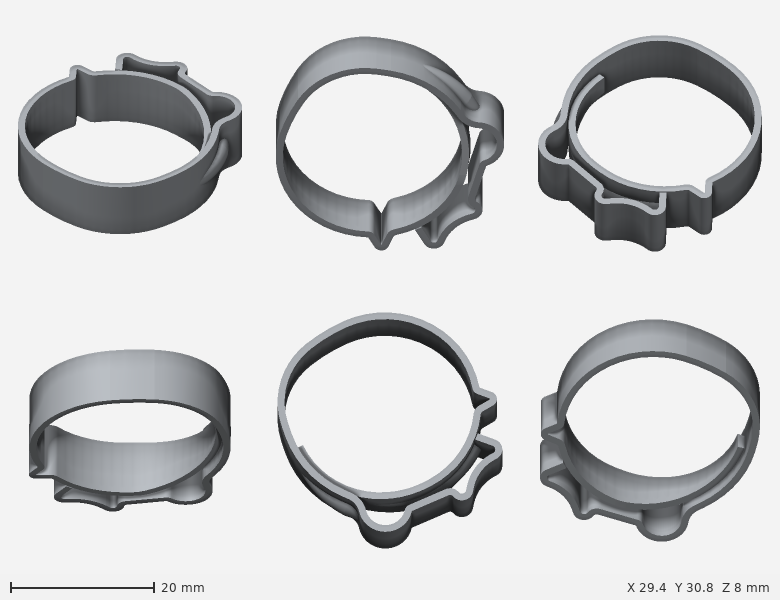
import cadquery as cq
import math

THICKNESS = 1.0
WIDTH = 8.0

RING_RADIUS = 13.0
SHARP_BEND = 0.6
TOOTH_FOOT_BEND = 1.08
EASE_OUT_BEND = 24.12
CORNER_BEND = 10.5
EASE_IN_BEND = 44.28
OVERLAP_BEND = 14.5
EAR_FOOT_BEND = 3.2
EAR_BEND = 3.25
HOOK_FOOT_BEND = 1.05
HOOK_CREST_BEND = 1.08
FINGER_BEND = 6.4
HOOK_NOSE_BEND = 1.05

TOOTH_TOP = 1.72
TOOTH_FACE = 1.82
OVERLAP_LEAD = 0.95
BRIDGE = 5.57
HOOK_BACK = 0.75
HOOK_FACE = 2.62

START_HEADING = 90.0
TOOTH_TOP_HEADING = 186.9
TOOTH_FACE_HEADING = 314.8
BRIDGE_HEADING = 540.0
HOOK_FACE_HEADING = 675.0

TONGUE_WIDTH = 3.2
TAPER_DIRECTION = 160.0
TAPER_END = 4.75
TAPER_BLEND = 0.77

RIB_ROUND = 1.6
RIB_DEPTH = 1.3
GUIDE_CENTER = (-0.85, -0.05)
GUIDE_CREST_RADIUS = 14.0
GUIDE_START = 35.0
GUIDE_END = 131.0
EAR_RIB_CENTER = (-0.22, 2.4)
EAR_RIB_CREST_RADIUS = 14.43
EAR_RIB_START = 0.0
EAR_RIB_END = 37.5
EAR_RIB_RUN_HEADING = 135.0
EAR_RIB_RUN = 2.45

RING_OUTER = RING_RADIUS + THICKNESS / 2
OVERLAP_INNER = RING_OUTER + 0.045


def bend(radius, heading):
    """Curve of the strip with the given middle radius, up to a new heading."""
    return radius, heading


def straight(length):
    """Straight part of the strip that keeps the heading."""
    return length, None


STRIP = [
    bend(RING_RADIUS, 239.9),
    bend(TOOTH_FOOT_BEND, TOOTH_TOP_HEADING),
    straight(TOOTH_TOP),
    bend(SHARP_BEND, TOOTH_FACE_HEADING),
    straight(TOOTH_FACE),
    bend(SHARP_BEND, 256.7),
    bend(RING_RADIUS, 360.8),
    bend(EASE_OUT_BEND, 375.3),
    bend(CORNER_BEND, 442.3),
    bend(EASE_IN_BEND, 444.9),
    bend(OVERLAP_BEND, 491.2),
    straight(OVERLAP_LEAD),
    bend(EAR_FOOT_BEND, 438.5),
    bend(EAR_BEND, 593.8),
    bend(SHARP_BEND, BRIDGE_HEADING),
    straight(BRIDGE),
    bend(HOOK_FOOT_BEND, 464.6),
    bend(HOOK_CREST_BEND, 594.2),
    straight(HOOK_BACK),
    bend(FINGER_BEND, 542.7),
    bend(HOOK_NOSE_BEND, HOOK_FACE_HEADING),
    straight(HOOK_FACE),
]


def polar(center, radius, angle):
    """Point at a radius and an angle in degrees about a centre."""
    turn = math.radians(angle)
    return center[0] + radius * math.cos(turn), center[1] + radius * math.sin(turn)


def strip_side(offset):
    """Edges of one face of the strip, offset to the left of its middle line."""
    middle = (RING_RADIUS, 0.0)
    heading = START_HEADING
    edges = []
    for size, new_heading in STRIP:
        start = polar(middle, offset, heading + 90)
        if new_heading is None:
            middle = polar(middle, size, heading)
            end = polar(middle, offset, heading + 90)
            edges.append(cq.Edge.makeLine(cq.Vector(*start), cq.Vector(*end)))
            continue
        side = math.copysign(90, new_heading - heading)
        center = polar(middle, size, heading + side)
        middle = polar(center, size, new_heading - side)
        face_radius = size - math.copysign(offset, offset * side)
        halfway = polar(center, face_radius, (heading + new_heading) / 2 - side)
        heading = new_heading
        end = polar(center, face_radius, heading - side)
        points = [cq.Vector(*point) for point in (start, halfway, end)]
        edges.append(cq.Edge.makeThreePointArc(*points))
    return edges


def make_strip():
    """The whole bent strip at full width."""
    left = strip_side(THICKNESS / 2)
    right = strip_side(-THICKNESS / 2)
    tongue_end = cq.Edge.makeLine(left[0].startPoint(), right[0].startPoint())
    hook_end = cq.Edge.makeLine(left[-1].endPoint(), right[-1].endPoint())
    outline = cq.Wire.assembleEdges([*left, hook_end, *reversed(right), tongue_end])
    strip = cq.Workplane("XY").add(outline).toPending().extrude(WIDTH)
    return strip.translate((0, 0, -WIDTH / 2))


def make_taper_cutter():
    """Material above the sloping upper edge of the tongue, within the inner band."""
    along = cq.Vector(*polar((0, 0), 1, TAPER_DIRECTION), 0)
    across = cq.Vector(*polar((0, 0), 1, TAPER_DIRECTION - 90), 0)
    free_end = RING_RADIUS * along.x
    full = WIDTH / 2
    slope = (full - TONGUE_WIDTH / 2) / (TAPER_END - free_end)
    low_end = -RING_OUTER
    blend_start = TAPER_END - TAPER_BLEND
    profile = (
        cq.Workplane(cq.Plane((0, 0, 0), along, across))
        .moveTo(low_end, full - slope * (TAPER_END - low_end))
        .lineTo(blend_start, full - slope * TAPER_BLEND)
        .tangentArcPoint((TAPER_END + TAPER_BLEND, full), relative=False)
        .lineTo(low_end, full)
        .close()
    )
    wedge = profile.extrude(RING_OUTER, both=True)
    upper_half = (
        cq.Workplane("XY")
        .moveTo(OVERLAP_INNER, 0)
        .threePointArc((0, OVERLAP_INNER), (-OVERLAP_INNER, 0))
        .close()
        .extrude(WIDTH)
    )
    return wedge.intersect(upper_half)


def rib_profile(plane, crest):
    """Rounded rib section; local x points outward and the crest lies at x = crest."""
    root = crest - RIB_DEPTH
    half_width = math.sqrt(RIB_ROUND**2 - (RIB_ROUND - RIB_DEPTH) ** 2)
    return (
        cq.Workplane(plane)
        .moveTo(root, -half_width)
        .threePointArc((crest, 0), (root, half_width))
        .close()
    )


def make_curved_rib(center, crest_radius, start, end, trim_radius):
    """Rib along an arc about its own centre, cut off inside the trim radius."""
    rib = (
        rib_profile("XZ", crest_radius)
        .revolve(end - start, (0, 0), (0, 1))
        .rotate((0, 0, 0), (0, 0, 1), start)
        .translate((*center, 0))
    )
    inside = cq.Workplane("XY").circle(trim_radius).extrude(WIDTH, both=True)
    return rib.cut(inside)


def make_ear_rib():
    """Rib outside the overlap, with a straight run into the foot of the ear."""
    mid_overlap = OVERLAP_INNER + THICKNESS / 2
    curved = make_curved_rib(
        EAR_RIB_CENTER, EAR_RIB_CREST_RADIUS, EAR_RIB_START, EAR_RIB_END, mid_overlap
    )
    crest = polar(EAR_RIB_CENTER, EAR_RIB_CREST_RADIUS, EAR_RIB_END)
    run = cq.Vector(*polar((0, 0), 1, EAR_RIB_RUN_HEADING), 0)
    outward = cq.Vector(*polar((0, 0), 1, EAR_RIB_RUN_HEADING - 90), 0)
    section = cq.Plane((*crest, 0), outward, run)
    return curved.union(rib_profile(section, 0).extrude(EAR_RIB_RUN))


def make_clamp():
    """Bent strip with its tapered tongue and the rib at the ear."""
    upper_cutter = make_taper_cutter()
    lower_cutter = upper_cutter.mirror("XY")
    return make_strip().cut(upper_cutter).cut(lower_cutter).union(make_ear_rib())


def make_guide_rib():
    """Separate rib seated on the outside of the inner band, under the bridge."""
    return make_curved_rib(GUIDE_CENTER, GUIDE_CREST_RADIUS, GUIDE_START, GUIDE_END, RING_OUTER)


clamp = make_clamp()
guide_rib = make_guide_rib()
result = cq.Compound.makeCompound([clamp.solids().val(), guide_rib.solids().val()])